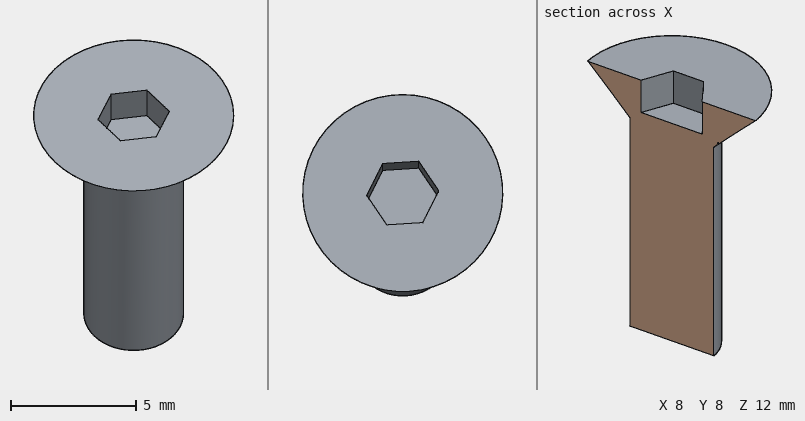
import cadquery as cq
import math

total_length = 12.0
head_diameter = total_length * 2 / 3
shank_diameter = head_diameter / 2
head_height = (head_diameter - shank_diameter) / 2
shank_length = total_length - head_height
socket_across_flats = 2.5
socket_depth = 1.55


def make_body():
    """Revolve the half profile of the shank and conical head about Z."""
    half_profile = (
        cq.Workplane("XZ")
        .moveTo(0, 0)
        .lineTo(shank_diameter / 2, 0)
        .lineTo(shank_diameter / 2, shank_length)
        .lineTo(head_diameter / 2, total_length)
        .lineTo(0, total_length)
        .close()
    )
    return half_profile.revolve(360, (0, 0, 0), (0, 1, 0))


def make_socket():
    """Flat-bottomed hexagonal socket with two corners on the Y axis."""
    across_corners = socket_across_flats / math.cos(math.radians(30))
    return (
        cq.Workplane("XY")
        .workplane(offset=total_length - socket_depth)
        .transformed(rotate=(0, 0, 90))
        .polygon(6, across_corners)
        .extrude(socket_depth)
    )


result = make_body().cut(make_socket())